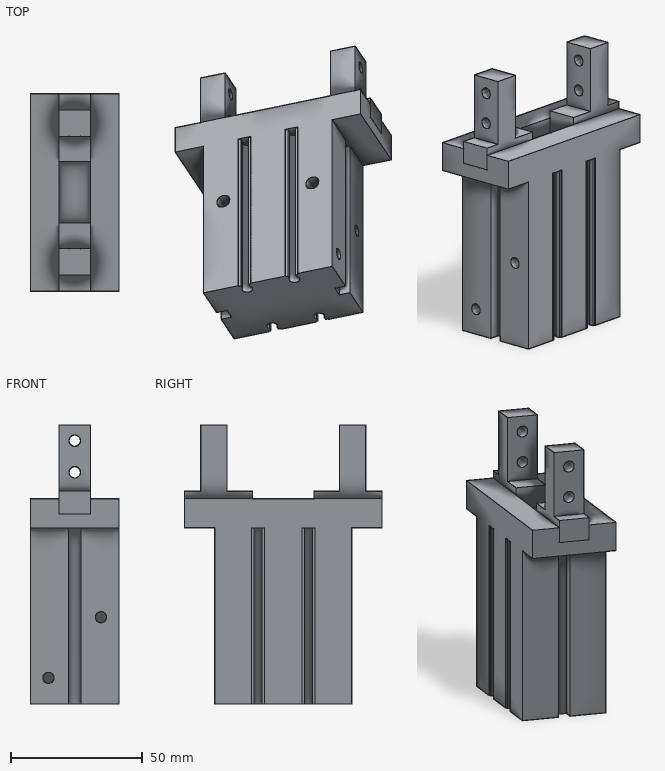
import cadquery as cq
import math

total_height = 106.0
width = 33.6

head_length = 75.0
head_top = 78.0
head_bottom = 66.9
block_length = 52.2
guide_width = 12.0
guide_floor = 72.2

foot_length = 25.9
foot_top = 80.9
finger_thickness = 10.1
finger_setback = 6.1
finger_hole_diameter = 4.2
finger_hole_drop = 6.0
finger_hole_pitch = 12.0

end_groove_width = 4.8
end_groove_depth = 4.2

sensor_groove_offset = 9.5
sensor_recess_width = 5.0
sensor_recess_depth = 0.4
sensor_neck_width = 3.0
sensor_neck_depth = 2.0
sensor_channel_diameter = 4.0

port_diameter = 4.2
port_offset = 10.0
port_depth = 10.0
upper_port_height = 33.0
lower_port_height = 10.0
side_hole_diameter = 5.2
side_hole_offset = 18.0
side_hole_height = 40.0
side_hole_depth = 10.0


def block_at(x_size, y_size, bottom, top):
    """Box centred on the Z axis between two heights."""
    return (
        cq.Workplane("XY")
        .workplane(offset=bottom)
        .rect(x_size, y_size)
        .extrude(top - bottom)
    )


def cut_end_grooves(body):
    """Square groove down both ends of the block, up to the head."""
    for end in (-1, 1):
        groove = block_at(end_groove_width, 2 * end_groove_depth, 0, head_bottom)
        body = body.cut(groove.translate((0, end * block_length / 2, 0)))
    return body


def sensor_groove():
    """Stepped groove ending in a round channel, open toward -X, centred on Y = 0."""
    recess = block_at(2 * sensor_recess_depth, sensor_recess_width, 0, head_bottom)
    channel_radius = sensor_channel_diameter / 2
    channel_depth = sensor_neck_depth + math.sqrt(channel_radius**2 - (sensor_neck_width / 2) ** 2)
    neck = block_at(2 * channel_depth, sensor_neck_width, 0, head_bottom)
    channel = cq.Workplane("XY").center(channel_depth, 0).circle(channel_radius).extrude(head_bottom)
    return recess.union(neck).union(channel).translate((-width / 2, 0, 0))


def cut_sensor_grooves(body):
    """Two sensor grooves on each of the -X and +X sides."""
    for y in (-sensor_groove_offset, sensor_groove_offset):
        groove = sensor_groove().translate((0, y, 0))
        body = body.cut(groove).cut(groove.mirror("YZ"))
    return body


def cut_ports(body):
    """Two blind ports in the -Y end of the block."""
    ports = (
        cq.Workplane("XZ", origin=(0, -block_length / 2, 0))
        .pushPoints([(port_offset, upper_port_height), (-port_offset, lower_port_height)])
        .circle(port_diameter / 2)
        .extrude(-port_depth)
    )
    return body.cut(ports)


def cut_side_holes(body):
    """Two blind holes in the -X side of the block."""
    holes = (
        cq.Workplane("YZ", origin=(-width / 2, 0, 0))
        .pushPoints([(y, side_hole_height) for y in (-side_hole_offset, side_hole_offset)])
        .circle(side_hole_diameter / 2)
        .extrude(side_hole_depth)
    )
    return body.cut(holes)


def make_body():
    body = block_at(width, block_length, 0, head_bottom)
    body = body.union(block_at(width, head_length, head_bottom, head_top))
    body = body.cut(block_at(guide_width, head_length, guide_floor, head_top))
    body = cut_end_grooves(body)
    body = cut_sensor_grooves(body)
    body = cut_ports(body)
    return cut_side_holes(body)


def make_jaw(end):
    """Jaw at the -Y end (end = -1) or the +Y end (end = 1) of the guide."""
    foot_y = end * (head_length - foot_length) / 2
    finger_y = end * (head_length / 2 - finger_setback - finger_thickness / 2)
    upper_hole = total_height - finger_hole_drop
    foot = block_at(guide_width, foot_length, guide_floor, foot_top).translate((0, foot_y, 0))
    finger = block_at(guide_width, finger_thickness, foot_top, total_height).translate((0, finger_y, 0))
    holes = (
        cq.Workplane("XZ")
        .pushPoints([(0, upper_hole), (0, upper_hole - finger_hole_pitch)])
        .circle(finger_hole_diameter / 2)
        .extrude(head_length / 2, both=True)
    )
    return foot.union(finger).cut(holes)


body = make_body()
jaws = [make_jaw(end) for end in (-1, 1)]

result = cq.Compound.makeCompound([body.val(), *[jaw.val() for jaw in jaws]])